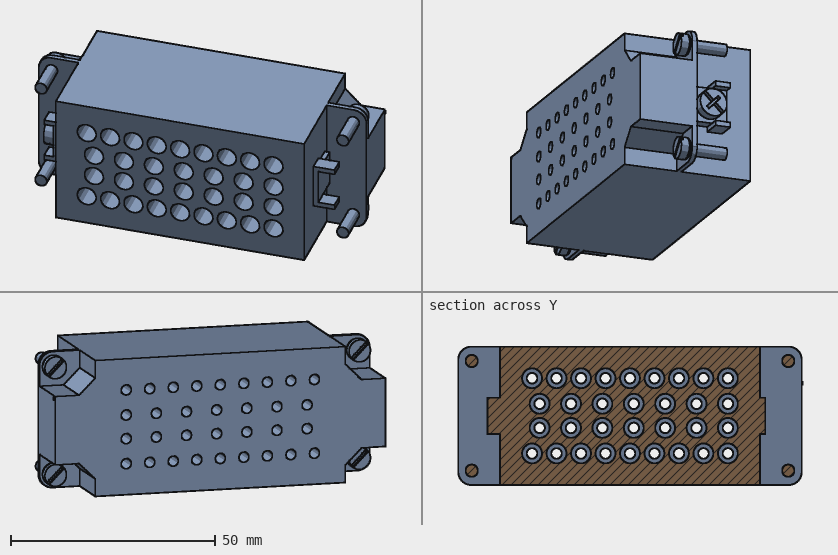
import cadquery as cq


housing_width = 63.8
housing_height = 34.0
housing_depth = 33.3

flange_width = 84.25
flange_thickness = 1.3
flange_corner_radius = 3.3
shoulder_depth = 13.8
shoulder_half_height = 8.5
shoulder_end_length = 6.1
shoulder_slope_rise = 4.05

screw_x = 38.8
screw_z = 13.4
screw_head_diameter = 5.5
screw_head_length = 2.2
screw_collar_diameter = 4.8
screw_collar_length = 0.4
screw_shank_diameter = 3.0
screw_shank_projection = 8.7
screw_slot_depth = 0.7
slot_width = 0.8
slot_angle = 45

cavity_diameter = 4.8
cavity_bore_diameter = 2.5
outer_row_z = 9.2
inner_row_z = 2.95
outer_row_count = 9
outer_row_pitch = 6.0
inner_row_count = 7
inner_row_pitch = 7.7

terminal_start = 16.6
terminal_end = 25.8
terminal_half_height = 4.5
terminal_block_length = 3.0
terminal_plate_length = 1.3
terminal_arm_length = 5.4
terminal_arm_thickness = 1.3
terminal_arm_width = 3.9
earth_screw_diameter = 7.0
earth_screw_length = 2.9
earth_slot_depth = 1.35
earth_short_slot_length = 4.2

dot_diameter = 0.75
dot_height = 0.25
dot_z = 7.95

half_housing = housing_width / 2
half_flange = flange_width / 2
flange_front = shoulder_depth + flange_thickness
cavity_depth = housing_depth - flange_front
row_end_x = outer_row_pitch * (outer_row_count - 1) / 2


def box_between(x_range, depth_range, z_range):
    """Box spanning two X values, two depths in front of the rear face and two Z values."""
    x_low, x_high = sorted(x_range)
    depth_low, depth_high = depth_range
    z_low, z_high = sorted(z_range)
    size = (x_high - x_low, depth_high - depth_low, z_high - z_low)
    return cq.Workplane("XY").box(*size, centered=False).translate((x_low, -depth_high, z_low))


def cylinder_along_y(diameter, depth_start, length, x, z):
    """Cylinder that starts at a depth in front of the rear face and runs towards -Y."""
    plane = cq.Workplane("XZ", origin=(x, -depth_start, z))
    return plane.circle(diameter / 2).extrude(length)


def make_housing():
    half_height = housing_height / 2
    return box_between((-half_housing, half_housing), (0, housing_depth), (-half_height, half_height))


def make_flange():
    plane = cq.Workplane("XZ", origin=(0, -shoulder_depth, 0))
    plate = plane.rect(flange_width, housing_height).extrude(flange_thickness)
    return plate.edges("|Y").fillet(flange_corner_radius)


def make_shoulders():
    """Bar across the rear whose ends step down through sloped faces."""
    slope_outer_x = half_flange - shoulder_end_length
    slope_top_z = shoulder_half_height + shoulder_slope_rise
    quarter = [
        (half_flange, shoulder_half_height),
        (slope_outer_x, shoulder_half_height),
        (half_housing, slope_top_z),
    ]
    upper = quarter + [(-x, z) for x, z in reversed(quarter)]
    lower = [(x, -z) for x, z in reversed(upper)]
    return cq.Workplane("XZ").polyline(upper + lower).close().extrude(shoulder_depth)


def make_flange_screw(x, z):
    """Slotted screw with its head behind the flange and its shank pointing to -Y."""
    collar_start = shoulder_depth - screw_collar_length
    head_start = collar_start - screw_head_length
    shank_length = flange_thickness + screw_shank_projection
    head = cylinder_along_y(screw_head_diameter, head_start, screw_head_length, x, z)
    collar = cylinder_along_y(screw_collar_diameter, collar_start, screw_collar_length, x, z)
    shank = cylinder_along_y(screw_shank_diameter, shoulder_depth, shank_length, x, z)
    slot_plane = cq.Workplane("XZ", origin=(x, -head_start, z)).transformed(rotate=(0, 0, -slot_angle))
    slot = slot_plane.rect(2 * screw_head_diameter, slot_width).extrude(screw_slot_depth)
    return head.cut(slot).union(collar).union(shank)


def make_terminal(side, base_length):
    """Earth terminal: a base on the housing end with two arms; side is -1 or +1 along X."""
    base_x = side * half_housing
    base = box_between(
        (base_x, base_x + side * base_length),
        (terminal_start, terminal_end),
        (-terminal_half_height, terminal_half_height),
    )
    arm_x_range = (base_x, base_x + side * terminal_arm_length)
    arm_depth_range = (terminal_end - terminal_arm_width, terminal_end)
    arm_outer_z = terminal_half_height + terminal_arm_thickness
    for z_sign in (-1, 1):
        arm_z_range = (z_sign * terminal_half_height, z_sign * arm_outer_z)
        base = base.union(box_between(arm_x_range, arm_depth_range, arm_z_range))
    return base


def make_earth_screw():
    """Screw head on the -X terminal with a full slot and a shorter crossing slot."""
    center_y = -(terminal_start + terminal_end) / 2
    seat_x = -half_housing - terminal_block_length
    seat = cq.Workplane("YZ", origin=(seat_x, center_y, 0))
    head = seat.circle(earth_screw_diameter / 2).extrude(-earth_screw_length)
    slot_plane = cq.Workplane("YZ", origin=(seat_x - earth_screw_length, center_y, 0))
    slot_plane = slot_plane.transformed(rotate=(0, 0, slot_angle))
    long_slot = slot_plane.rect(2 * earth_screw_diameter, slot_width).extrude(earth_slot_depth)
    short_slot = slot_plane.rect(slot_width, earth_short_slot_length).extrude(earth_slot_depth)
    return head.cut(long_slot).cut(short_slot)


def make_dot():
    plane = cq.Workplane("YZ", origin=(half_flange, -dot_diameter / 2, dot_z))
    return plane.circle(dot_diameter / 2).extrude(dot_height)


def cavity_centers():
    """Four rows of cavities that all end at the same X on the +X side."""
    centers = []
    rows = (
        (outer_row_z, outer_row_count, outer_row_pitch),
        (inner_row_z, inner_row_count, inner_row_pitch),
    )
    for row_z, count, pitch in rows:
        for index in range(count):
            x = row_end_x - index * pitch
            centers += [(x, row_z), (x, -row_z)]
    return centers


def cut_cavities(body):
    """Stepped through-holes, wide on the contact face."""
    contact_face = cq.Workplane("XZ", origin=(0, -housing_depth, 0)).pushPoints(cavity_centers())
    cavities = contact_face.circle(cavity_diameter / 2).extrude(-cavity_depth)
    bores = contact_face.circle(cavity_bore_diameter / 2).extrude(-housing_depth)
    return body.cut(cavities).cut(bores)


body = make_housing().union(make_flange()).union(make_shoulders())
for x_sign in (-1, 1):
    for z_sign in (-1, 1):
        body = body.union(make_flange_screw(x_sign * screw_x, z_sign * screw_z))
body = body.union(make_terminal(-1, terminal_block_length))
body = body.union(make_terminal(1, terminal_plate_length))
body = body.union(make_earth_screw()).union(make_dot())

result = cut_cavities(body)